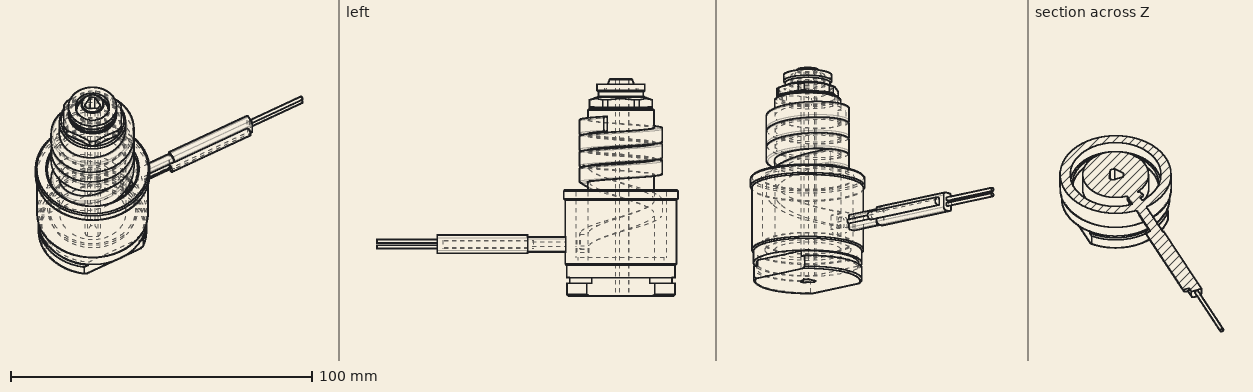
import cadquery as cq
import math

foot_radius = 18.0
foot_chamfer = 0.6
foot_flat_width = 28.0
groove_bottom = 4.35
groove_top = 6.15
groove_radius = 17.0
cup_bottom = 10.7
cup_radius = 18.5
flange_bottom = 31.9
flange_top = 35.4
flange_radius = 19.0
cup_chamfer = 0.5
cup_bore_radius = 15.0
cup_mouth_chamfer = 0.5
cup_ledge_z = 13.0
cup_floor_radius = 14.3

core_radius = 11.0
core_top = 62.3
core_chamfer = 0.6
hex_bottom = 62.8
hex_top = 66.1
hex_across_flats = 19.0
hex_corner_radius = 10.45
hex_shoulder = 65.15
hex_neck_radius = 9.0
collar_radius = 8.0
collar_neck_radius = 7.5
collar_bottom = 67.8
collar_top = 70.4
collar_chamfer = 0.6
collar_neck_flare = 0.3
tip_top = 72.2
tip_radius = 3.8
tip_chamfer = 0.3
tip_base_radius = 5.2
recess_radius = 5.6
recess_depth = 2.0

hole_inradius = 1.9
hole_corner_radius = 2.6

strip_height = 5.0
strip_outer_radius = 13.8
strip_fillet = 0.5
strip_overlap = 0.1
coil_pitch = 5.35
coil_end_angle = 516.0
coil_start_angle = -645.0
coil_end_z = 57.2
lead_pitch = 22.5
lead_turns = 0.97

cable_x = -1.37
cable_z = 17.15
cable_width = 3.1
cable_height = 5.1
cable_fillet = 0.7
cable_overlap = 0.4
sleeve_z = 17.3
sleeve_width = 3.75
sleeve_height = 6.1
sleeve_fillet = 1.0
sleeve_start = 31.0
sleeve_length = 30.0
wire_diameter = 1.2
wire_spacing = 1.85
wire_end = 81.0

sensor_x = 1.31
sensor_diameter = 2.7
sensor_start = 29.1
sensor_lead_x = 0.2
sensor_lead_diameter = 1.4


def revolve_profile(points):
    """Turn an (R, Z) outline about the Z axis."""
    return cq.Workplane("XZ").polyline(points).close().revolve(360, (0, 0), (0, 1))


def cup():
    """Grooved foot with two flats, and the flanged cup above it."""
    body = revolve_profile([
        (0, 0),
        (foot_radius - foot_chamfer, 0),
        (foot_radius, foot_chamfer),
        (foot_radius, groove_bottom),
        (groove_radius, groove_bottom),
        (groove_radius, groove_top),
        (foot_radius, groove_top),
        (foot_radius, cup_bottom - cup_chamfer),
        (cup_radius, cup_bottom),
        (cup_radius, flange_bottom),
        (flange_radius, flange_bottom + cup_chamfer),
        (flange_radius, flange_top - cup_chamfer),
        (flange_radius - cup_chamfer, flange_top),
        (cup_bore_radius + cup_mouth_chamfer, flange_top),
        (cup_bore_radius, flange_top - cup_mouth_chamfer),
        (cup_bore_radius, cup_ledge_z),
        (cup_floor_radius, cup_ledge_z),
        (cup_floor_radius, cup_bottom),
        (0, cup_bottom),
    ])
    foot_slab = cq.Workplane("XY").rect(foot_flat_width, 2 * flange_radius).extrude(groove_top)
    upper_block = (
        cq.Workplane("XY")
        .workplane(offset=groove_top)
        .circle(flange_radius)
        .extrude(flange_top - groove_top)
    )
    return body.intersect(foot_slab.union(upper_block))


def core():
    """Plain core with the neck, collar and conical tip."""
    return revolve_profile([
        (0, cup_bottom),
        (core_radius, cup_bottom),
        (core_radius, core_top - core_chamfer),
        (core_radius - core_chamfer, core_top),
        (hex_neck_radius, core_top),
        (hex_neck_radius, hex_bottom),
        (collar_neck_radius + collar_neck_flare, hex_bottom),
        (collar_neck_radius + collar_neck_flare, hex_top),
        (collar_neck_radius, hex_top + collar_neck_flare),
        (collar_neck_radius, collar_bottom),
        (collar_radius, collar_bottom + collar_chamfer),
        (collar_radius, collar_top),
        (recess_radius, collar_top),
        (recess_radius, collar_top - recess_depth),
        (tip_base_radius, collar_top - recess_depth),
        (tip_radius, tip_top - tip_chamfer),
        (tip_radius - tip_chamfer, tip_top),
        (0, tip_top),
    ])


def hexagon():
    """Hexagon with corners on the Y axis, turned down at the corners and on top."""
    corner_diameter = hex_across_flats / math.cos(math.pi / 6)
    prism = (
        cq.Workplane("XY")
        .workplane(offset=hex_bottom)
        .polygon(6, corner_diameter)
        .extrude(hex_top - hex_bottom)
        .rotate((0, 0, 0), (0, 0, 1), 30)
    )
    turned = revolve_profile([
        (0, hex_bottom),
        (hex_corner_radius, hex_bottom),
        (hex_corner_radius, hex_shoulder),
        (collar_radius, hex_top),
        (0, hex_top),
    ])
    return prism.intersect(turned)


def strip_section(center_z):
    """Radial section of the strip with rounded corners, set slightly into the core."""
    inner_radius = core_radius - strip_overlap
    thickness = strip_outer_radius - inner_radius
    center = (inner_radius + thickness / 2, center_z)
    outline = cq.Sketch().rect(thickness, strip_height).vertices().fillet(strip_fillet)
    return cq.Workplane("XZ").center(*center).placeSketch(outline)


def wound_strip(pitch, start_angle, turns, start_z):
    """Strip climbing along a helix from the start angle."""
    path = cq.Wire.makeHelix(pitch, pitch * turns, core_radius, cq.Vector(0, 0, start_z))
    section = strip_section(start_z)
    strip = section.sweep(cq.Workplane(path), isFrenet=True)
    return strip.rotate((0, 0, 0), (0, 0, 1), start_angle)


def heater_strip():
    """Closely wound coil, and the steeper lead that drops into the cup."""
    coil_turns = (coil_end_angle - coil_start_angle) / 360
    coil_start_z = coil_end_z - coil_pitch * coil_turns
    lead_start_angle = coil_start_angle - 360 * lead_turns
    lead_start_z = coil_start_z - lead_pitch * lead_turns
    coil = wound_strip(coil_pitch, coil_start_angle, coil_turns, coil_start_z)
    lead = wound_strip(lead_pitch, lead_start_angle, lead_turns, lead_start_z)
    return coil, lead


def along_y(x, z, start):
    """Work plane facing +Y with its origin at the given point."""
    return cq.Workplane(cq.Plane((x, start, z), xDir=(1, 0, 0), normal=(0, 1, 0)))


def rounded_bar(center_z, width, height, fillet, start, length):
    """Rectangular bar along Y with its four long edges rounded."""
    return along_y(cable_x, center_z, start).rect(width, height).extrude(length).edges("|Y").fillet(fillet)


def cable_parts():
    """Flat cable, its sleeve, two wires, and the sensor with its lead."""
    inside = core_radius - cable_overlap
    parts = [
        rounded_bar(cable_z, cable_width, cable_height, cable_fillet, inside, sleeve_start - inside),
        rounded_bar(sleeve_z, sleeve_width, sleeve_height, sleeve_fillet, sleeve_start, sleeve_length),
    ]
    sleeve_end = sleeve_start + sleeve_length
    for side in (-1, 1):
        wire_z = sleeve_z + side * wire_spacing / 2
        wire = along_y(cable_x, wire_z, sleeve_end).circle(wire_diameter / 2).extrude(wire_end - sleeve_end)
        parts.append(wire)
    sensor = along_y(sensor_x, sleeve_z, sensor_start).circle(sensor_diameter / 2).extrude(sleeve_length)
    sensor_lead = (
        along_y(sensor_lead_x, sleeve_z, inside)
        .circle(sensor_lead_diameter / 2)
        .extrude(sensor_start - inside)
    )
    parts.extend([sensor, sensor_lead])
    return parts


def through_hole():
    """Rounded triangle pointing to -Y, cut along the whole axis."""
    corner_diameter = 4 * hole_inradius
    triangle = (
        cq.Workplane("XY")
        .polygon(3, corner_diameter)
        .extrude(tip_top)
        .rotate((0, 0, 0), (0, 0, 1), -90)
    )
    return triangle.intersect(cq.Workplane("XY").circle(hole_corner_radius).extrude(tip_top))


result = cup().union(core()).union(hexagon())
for strip in heater_strip():
    result = result.union(strip)
for part in cable_parts():
    result = result.union(part)
result = result.cut(through_hole())